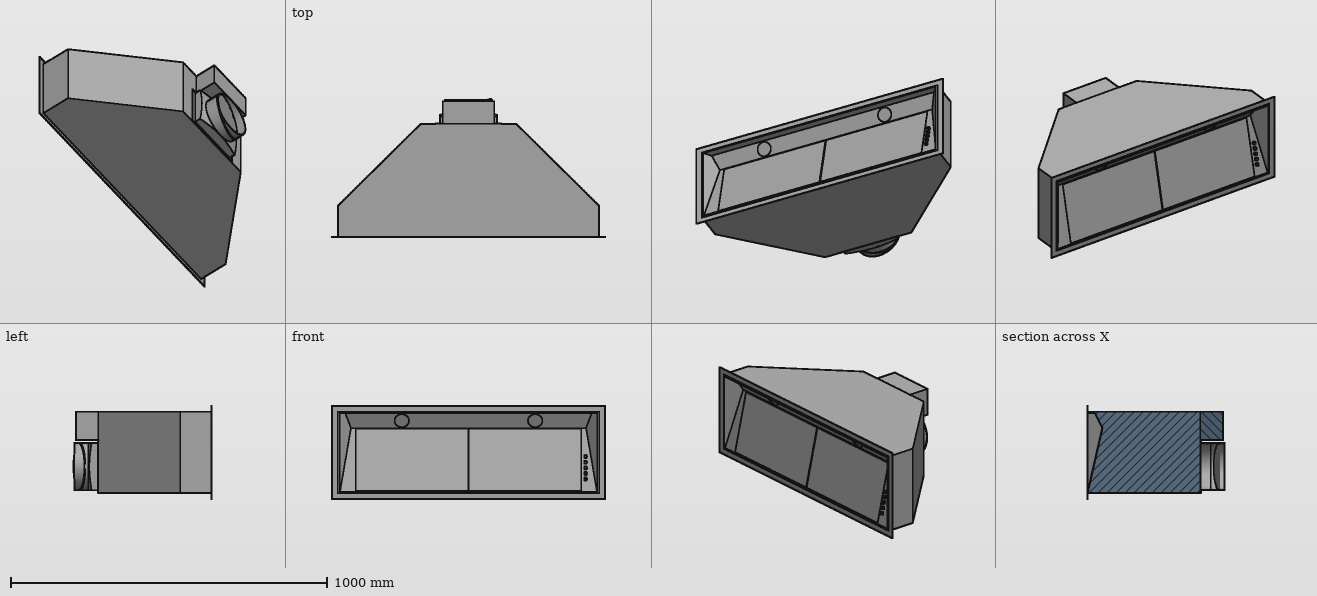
import cadquery as cq
import math

FRAME_WIDTH = 864.0
FRAME_HEIGHT = 295.0
FRAME_THICKNESS = 2.0

HOOD_WIDTH = 825.0
HOOD_HEIGHT = 257.5
HOOD_DEPTH = 358.0
HOOD_STRAIGHT_DEPTH = 99.0
HOOD_BACK_WIDTH = 302.0

RIM = 5.0
RECESS_WIDTH = HOOD_WIDTH - 2 * RIM
RECESS_TOP = HOOD_HEIGHT / 2 - RIM
RECESS_BOTTOM = -RECESS_TOP
RECESS_BOTTOM_DEPTH = 2.0
RECESS_DEPTH = 47.5
RECESS_DEEPEST_Z = 77.0
RECESS_BACK_WIDTH = 743.0
CEILING_START_DEPTH = 24.0
BACK_RISE = RECESS_DEEPEST_Z - RECESS_BOTTOM
BACK_RUN = RECESS_DEPTH - RECESS_BOTTOM_DEPTH
BACK_TILT = math.degrees(math.atan2(BACK_RUN, BACK_RISE))
BACK_LENGTH = math.hypot(BACK_RISE, BACK_RUN)

PANEL_SPAN = 712.0
PANEL_GAP = 3.0
PANEL_MARGIN = 3.0
PANEL_THICKNESS = 1.0
PANEL_WIDTH = (PANEL_SPAN - PANEL_GAP) / 2
PANEL_LENGTH = BACK_LENGTH - 2 * PANEL_MARGIN
PANEL_X = (PANEL_WIDTH + PANEL_GAP) / 2

BUTTON_COUNT = 5
BUTTON_DIAMETER = 9.5
BUTTON_HEIGHT = 6.0
BUTTON_PITCH = 18.0
BUTTON_X = 370.0
BUTTON_ROW_OFFSET = -27.0

LAMP_DIAMETER = 46.0
LAMP_THICKNESS = 4.0
LAMP_X = 211.0
CEILING_TILT = math.degrees(math.atan2(RECESS_DEPTH - CEILING_START_DEPTH, RECESS_TOP - RECESS_DEEPEST_Z))

BOX_WIDTH = 164.0
BOX_DEPTH = 72.0
BOX_HEIGHT = 90.0

COLLAR_Z = -45.0
COLLAR_PLATE_WIDTH = 207.0
COLLAR_PLATE_HEIGHT = 164.0
COLLAR_PLATE_THICKNESS = 2.0
COLLAR_BASE_WIDTH = 181.0
TUBE_DIAMETER = 150.0
TUBE_WALL = 2.0
COLLAR_LENGTH = 76.0
CONE_TOP = 33.0
CONE_CORNER = 22.0
TUBE_RADIUS = TUBE_DIAMETER / 2
BORE_DIAMETER = TUBE_DIAMETER - 2 * TUBE_WALL
CORNER_RADIUS = math.hypot(COLLAR_BASE_WIDTH / 2, TUBE_RADIUS)

DAMPER_DIAMETER = 149.0
DAMPER_THICKNESS = 3.5
DAMPER_TILT = 13.5
DAMPER_Y = 418.0


def block(width, y_front, y_back, height, z=0.0):
    """A box centred on X, between two Y positions and centred on the given Z."""
    depth = y_back - y_front
    return cq.Workplane("XY").box(width, depth, height).translate((0, y_front + depth / 2, z))


def back_frame():
    """Plane on the tilted recess back: local X along the width, local Y up the slope, facing the front."""
    middle = (0, (RECESS_BOTTOM_DEPTH + RECESS_DEPTH) / 2, (RECESS_BOTTOM + RECESS_DEEPEST_Z) / 2)
    tilt = math.radians(BACK_TILT)
    return cq.Workplane(cq.Plane(middle, xDir=(1, 0, 0), normal=(0, -math.cos(tilt), math.sin(tilt))))


def ceiling_frame():
    """Plane in the middle of the sloping ceiling, facing the front and down."""
    middle = (0, (CEILING_START_DEPTH + RECESS_DEPTH) / 2, (RECESS_TOP + RECESS_DEEPEST_Z) / 2)
    tilt = math.radians(CEILING_TILT)
    return cq.Workplane(cq.Plane(middle, xDir=(1, 0, 0), normal=(0, -math.cos(tilt), -math.sin(tilt))))


def make_recess():
    profile = [
        (0, RECESS_BOTTOM),
        (RECESS_BOTTOM_DEPTH, RECESS_BOTTOM),
        (RECESS_DEPTH, RECESS_DEEPEST_Z),
        (CEILING_START_DEPTH, RECESS_TOP),
        (0, RECESS_TOP),
    ]
    side_shape = cq.Workplane("YZ").polyline(profile).close().extrude(RECESS_WIDTH / 2, both=True)
    plan = [
        (-RECESS_WIDTH / 2, 0),
        (RECESS_WIDTH / 2, 0),
        (RECESS_BACK_WIDTH / 2, RECESS_DEPTH),
        (-RECESS_BACK_WIDTH / 2, RECESS_DEPTH),
    ]
    plan_shape = cq.Workplane("XY").polyline(plan).close().extrude(HOOD_HEIGHT, both=True)
    return side_shape.intersect(plan_shape)


def make_panel(x):
    return back_frame().center(x, 0).rect(PANEL_WIDTH, PANEL_LENGTH).extrude(PANEL_THICKNESS)


def make_lamp(x):
    return ceiling_frame().center(x, 0).circle(LAMP_DIAMETER / 2).extrude(-LAMP_THICKNESS)


def make_buttons():
    return (
        back_frame()
        .center(BUTTON_X, BUTTON_ROW_OFFSET)
        .rarray(9, BUTTON_PITCH, 1, BUTTON_COUNT)
        .circle(BUTTON_DIAMETER / 2)
        .extrude(BUTTON_HEIGHT)
    )


def make_hood(lamps):
    plan = [
        (HOOD_WIDTH / 2, 0),
        (HOOD_WIDTH / 2, HOOD_STRAIGHT_DEPTH),
        (HOOD_BACK_WIDTH / 2, HOOD_DEPTH),
        (-HOOD_BACK_WIDTH / 2, HOOD_DEPTH),
        (-HOOD_WIDTH / 2, HOOD_STRAIGHT_DEPTH),
        (-HOOD_WIDTH / 2, 0),
    ]
    hood = cq.Workplane("XY").polyline(plan).close().extrude(HOOD_HEIGHT / 2, both=True)
    frame = block(FRAME_WIDTH, 0, FRAME_THICKNESS, FRAME_HEIGHT)
    hood = hood.union(frame).cut(make_recess())
    for lamp in lamps:
        hood = hood.cut(lamp)
    return hood.union(make_buttons())


def make_box():
    z = (HOOD_HEIGHT - BOX_HEIGHT) / 2
    return block(BOX_WIDTH, HOOD_DEPTH, HOOD_DEPTH + BOX_DEPTH, BOX_HEIGHT, z)


def make_damper():
    disc = cq.Workplane("XZ").circle(DAMPER_DIAMETER / 2).extrude(DAMPER_THICKNESS / 2, both=True)
    return disc.rotate((0, 0, 0), (0, 0, 1), DAMPER_TILT).translate((0, DAMPER_Y, COLLAR_Z))


def make_collar():
    plate = block(
        COLLAR_PLATE_WIDTH, HOOD_DEPTH, HOOD_DEPTH + COLLAR_PLATE_THICKNESS, COLLAR_PLATE_HEIGHT, COLLAR_Z
    )
    profile = [
        (0, 0),
        (CORNER_RADIUS, 0),
        (CORNER_RADIUS, CONE_CORNER),
        (TUBE_RADIUS, CONE_TOP),
        (TUBE_RADIUS, COLLAR_LENGTH),
        (0, COLLAR_LENGTH),
    ]
    turned = cq.Workplane("XY").polyline(profile).close().revolve(360, (0, 0), (0, 1))
    turned = turned.translate((0, HOOD_DEPTH, COLLAR_Z))
    outline = block(COLLAR_BASE_WIDTH, HOOD_DEPTH, HOOD_DEPTH + COLLAR_LENGTH, TUBE_DIAMETER, COLLAR_Z)
    bore = (
        cq.Workplane("XZ", origin=(0, HOOD_DEPTH, COLLAR_Z)).circle(BORE_DIAMETER / 2).extrude(-COLLAR_LENGTH)
    )
    return turned.intersect(outline).union(plate).cut(bore).union(make_damper())


panels = [make_panel(side * PANEL_X) for side in (-1, 1)]
lamps = [make_lamp(side * LAMP_X) for side in (-1, 1)]
hood = make_hood(lamps)
box = make_box()
collar = make_collar()

bodies = [hood, box, collar] + panels + lamps
result = cq.Compound.makeCompound([body.val() for body in bodies])